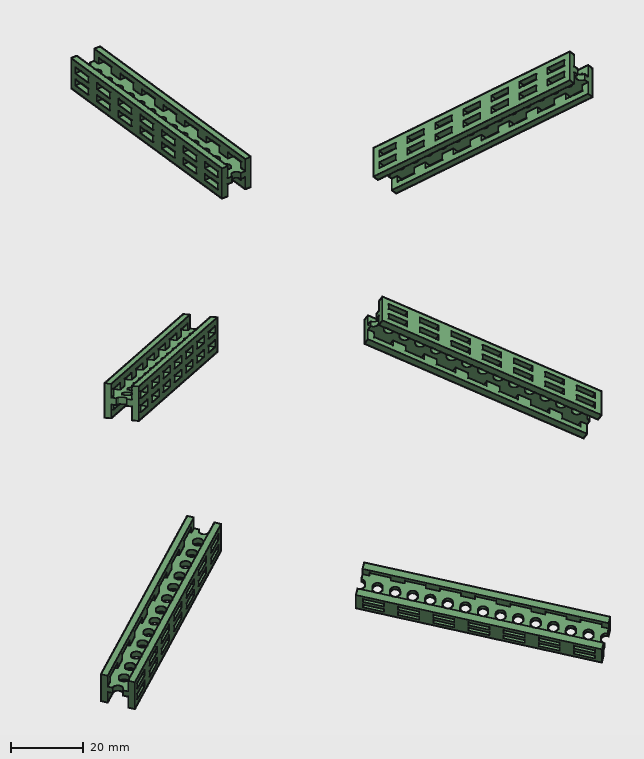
import cadquery as cq

length = 70.0
bay_count = 7
bay = length / bay_count

height = bay
width = bay
wall = bay / 5

window_length = 3 * wall
window_height = wall
window_offset = (wall + window_height) / 2

hole_diameter = 1.5 * wall
hole_pitch = bay / 2
hole_count = 2 * bay_count + 1


def make_h_section():
    """Solid beam with an open channel above and below the central web."""
    beam = cq.Workplane("XY").box(length, width, height)
    channel_width = width - 2 * wall
    channel_depth = (height - wall) / 2
    for side in (1, -1):
        channel_center = side * (wall + channel_depth) / 2
        channel = cq.Workplane("XY").box(length, channel_width, channel_depth)
        beam = beam.cut(channel.translate((0, 0, channel_center)))
    return beam


def make_windows():
    """Two rows of rectangular cutters passing through both flanges."""
    windows = cq.Workplane("XZ")
    return (
        windows.rarray(bay, 2 * window_offset, bay_count, 2)
        .rect(window_length, window_height)
        .extrude(width / 2, both=True)
    )


def make_web_holes():
    """Row of round cutters through the web, including the half holes at the ends."""
    holes = cq.Workplane("XY")
    return (
        holes.rarray(hole_pitch, 0.7, hole_count, 1)
        .circle(hole_diameter / 2)
        .extrude(wall / 2, both=True)
    )


result = make_h_section().cut(make_windows()).cut(make_web_holes())